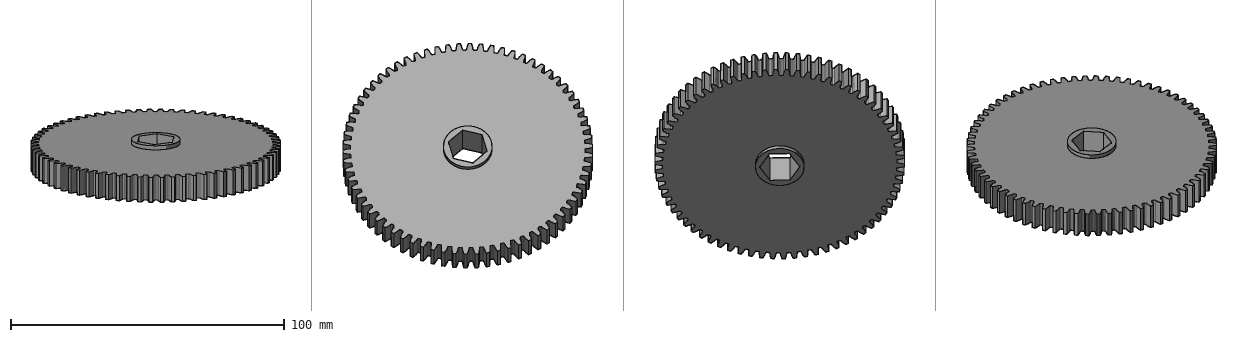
import cadquery as cq
import math

TOOTH_COUNT = 70
OUTSIDE_RADIUS = 45.7
PRESSURE_ANGLE = math.radians(14.5)
ADDENDUM = 1.0
DEDENDUM = 1.25
ROOT_FILLET = 0.5
BACKLASH = 0.05
FLANK_POINTS = 5

FACE_WIDTH = 9.5
HUB_LENGTH = 12.6
HUB_DIAMETER = 17.8
HEX_ACROSS_FLATS = 12.7

MODULE = OUTSIDE_RADIUS / (TOOTH_COUNT / 2 + ADDENDUM)
PITCH_RADIUS = MODULE * TOOTH_COUNT / 2
ROOT_RADIUS = PITCH_RADIUS - DEDENDUM * MODULE
BASE_RADIUS = PITCH_RADIUS * math.cos(PRESSURE_ANGLE)
FLANK_START_RADIUS = ROOT_RADIUS + ROOT_FILLET
TOOTH_PITCH = 2 * math.pi / TOOTH_COUNT
PITCH_HALF_GAP = TOOTH_PITCH / 4 + BACKLASH / (2 * PITCH_RADIUS)


def polar(radius, angle):
    return (radius * math.cos(angle), radius * math.sin(angle))


def involute_angle(radius):
    """Polar angle of the involute at a radius, measured from its start on the base circle."""
    roll = math.sqrt((radius / BASE_RADIUS) ** 2 - 1)
    return roll - math.atan(roll)


def gap_half_angle(radius):
    """Half the angle of the space between two teeth, at a radius outside the base circle."""
    return PITCH_HALF_GAP + involute_angle(radius) - involute_angle(PITCH_RADIUS)


def gear_outline():
    """Closed outline of all teeth, counter-clockwise from a tooth tip; the first gap is on +X."""
    flank_step = (OUTSIDE_RADIUS - FLANK_START_RADIUS) / (FLANK_POINTS - 1)
    flank_radii = [FLANK_START_RADIUS + i * flank_step for i in range(FLANK_POINTS)]

    tip_half_gap = gap_half_angle(OUTSIDE_RADIUS)
    flank_half_gap = gap_half_angle(FLANK_START_RADIUS)
    fillet_angle = ROOT_FILLET / FLANK_START_RADIUS
    root_half_angle = flank_half_gap - fillet_angle

    fillet_inset = 1 - math.sqrt(0.5)
    fillet_mid_radius = ROOT_RADIUS + ROOT_FILLET * fillet_inset
    fillet_mid_angle = flank_half_gap - fillet_angle * fillet_inset

    bottom_face = cq.Workplane("XY", origin=(0, 0, -FACE_WIDTH / 2))
    outline = bottom_face.moveTo(*polar(OUTSIDE_RADIUS, -tip_half_gap))
    for gap in range(TOOTH_COUNT):
        centre = gap * TOOTH_PITCH
        falling_flank = [polar(r, centre - gap_half_angle(r)) for r in reversed(flank_radii)]
        rising_flank = [polar(r, centre + gap_half_angle(r)) for r in flank_radii]
        next_tooth = centre + TOOTH_PITCH / 2
        next_gap = centre + TOOTH_PITCH
        outline = (
            outline.spline(falling_flank[1:], includeCurrent=True)
            .threePointArc(
                polar(fillet_mid_radius, centre - fillet_mid_angle),
                polar(ROOT_RADIUS, centre - root_half_angle),
            )
            .threePointArc(polar(ROOT_RADIUS, centre), polar(ROOT_RADIUS, centre + root_half_angle))
            .threePointArc(polar(fillet_mid_radius, centre + fillet_mid_angle), rising_flank[0])
            .spline(rising_flank[1:], includeCurrent=True)
            .threePointArc(
                polar(OUTSIDE_RADIUS, next_tooth),
                polar(OUTSIDE_RADIUS, next_gap - tip_half_gap),
            )
        )
    return outline.close()


def toothed_disc():
    return gear_outline().extrude(FACE_WIDTH)


def hub():
    return cq.Workplane("XY").circle(HUB_DIAMETER / 2).extrude(HUB_LENGTH / 2, both=True)


def hex_bore():
    """Hexagonal through bore with two corners on the Y axis."""
    across_corners = HEX_ACROSS_FLATS / math.cos(math.pi / 6)
    hexagon = cq.Workplane("XY").transformed(rotate=(0, 0, 90)).polygon(6, across_corners)
    return hexagon.extrude(HUB_LENGTH / 2, both=True)


result = toothed_disc().union(hub()).cut(hex_bore())